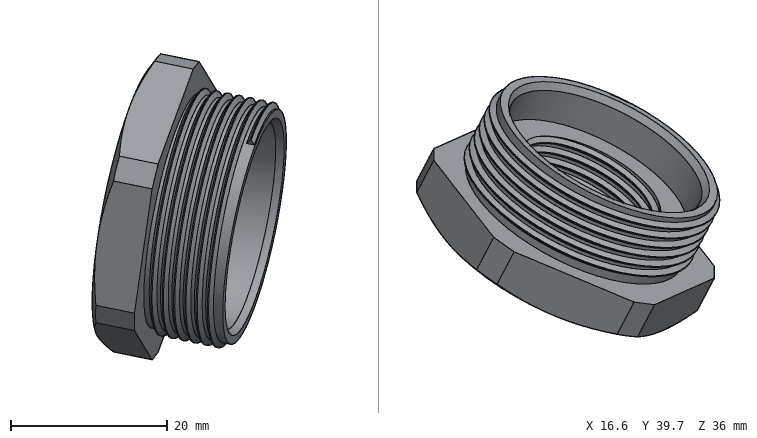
import cadquery as cq
import math

total_length = 16.6
flange_length = 6.15
across_flats = 36.0
across_trimmed_corners = 39.65
flat_to_corner_angle = 30
chamfer_circle_diameter = 35.95
chamfer_angle = 28

shank_diameter = 30.7
bore_diameter = 20.03
counterbore_diameter = 27.2
counterbore_start = 11.05
rear_chamfer_depth = 0.95
rear_chamfer_width = 0.6

pitch = 1.5
ridge_base_width = 1.05
ridge_crest_width = 0.15
ridge_root_overlap = 0.08
outer_ridge_height = 0.75
inner_ridge_height = 0.735

outer_ridge_start = 6.7
outer_start_angle = 17
outer_turns = 6.2
inner_ridge_start = 1.35
inner_start_angle = 90
inner_turns = 7.5


def cylinder(diameter, start, end):
    """Cylinder along X between two positions."""
    return cq.Workplane("YZ", origin=(start, 0, 0)).circle(diameter / 2).extrude(end - start)


def hex_flange():
    """Hexagon with flats towards +Z and -Z, trimmed corners and a conical front chamfer."""
    corner_diameter = across_flats / math.cos(math.radians(flat_to_corner_angle))
    flange = cq.Workplane("YZ").polygon(6, corner_diameter).extrude(flange_length)
    trimming_corner_diameter = across_trimmed_corners / math.cos(math.radians(flat_to_corner_angle))
    trimmer = cq.Workplane("YZ").polygon(6, trimming_corner_diameter).extrude(flange_length)
    flange = flange.intersect(trimmer.rotate((0, 0, 0), (1, 0, 0), flat_to_corner_angle))

    front_radius = chamfer_circle_diameter / 2
    back_radius = front_radius + flange_length / math.tan(math.radians(chamfer_angle))
    cone = cq.Workplane(
        cq.Solid.makeCone(front_radius, back_radius, flange_length, cq.Vector(0, 0, 0), cq.Vector(1, 0, 0))
    )
    return flange.intersect(cone)


def thread_ridge(root_radius, height, start, start_angle, turns):
    """Helical ridge on a cylinder; a negative height points towards the axis."""
    root = root_radius - math.copysign(ridge_root_overlap, height)
    crest = root_radius + height
    half_crest = ridge_crest_width / 2
    half_base = ridge_base_width / 2
    half_root = half_base + (half_base - half_crest) * ridge_root_overlap / abs(height)
    section = [(root, -half_root), (crest, -half_crest), (crest, half_crest), (root, half_root)]
    path = cq.Wire.makeHelix(pitch, pitch * turns, root_radius)
    ridge = cq.Workplane("XZ").polyline(section).close().sweep(cq.Workplane(path), isFrenet=True)
    ridge = ridge.rotate((0, 0, 0), (1, 1, 1), 120)
    return ridge.rotate((0, 0, 0), (1, 0, 0), start_angle).translate((start, 0, 0))


def rear_chamfer():
    """Conical widening of the counterbore at its open end."""
    rear_radius = counterbore_diameter / 2 + rear_chamfer_width
    return cq.Workplane(
        cq.Solid.makeCone(
            counterbore_diameter / 2,
            rear_radius,
            rear_chamfer_depth,
            cq.Vector(total_length - rear_chamfer_depth, 0, 0),
            cq.Vector(1, 0, 0),
        )
    )


outer_thread = thread_ridge(
    shank_diameter / 2, outer_ridge_height, outer_ridge_start, outer_start_angle, outer_turns
)
inner_thread = thread_ridge(
    bore_diameter / 2, -inner_ridge_height, inner_ridge_start, inner_start_angle, inner_turns
)

body = hex_flange().union(cylinder(shank_diameter, flange_length, total_length))
body = body.cut(cylinder(bore_diameter, 0, total_length))
body = body.union(outer_thread).union(inner_thread)

body = body.cut(cylinder(counterbore_diameter, counterbore_start, total_length))
result = body.cut(rear_chamfer())